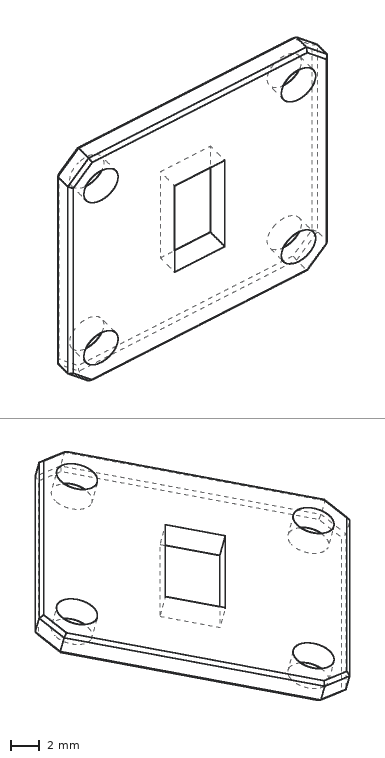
import cadquery as cq

flange_side = 22.35
flange_thickness = 1.75
corner_chamfer = 1.8
edge_chamfer = 0.27

window_width_y = 4.32
window_height_z = 8.64

hole_diameter = 2.95
hole_spacing_y = 17.02
hole_spacing_z = 16.26

back_face_origin = (-flange_thickness / 2, 0, 0)


def flange_blank():
    """Square plate with cut corners and both face outlines chamfered, centred on the origin."""
    plate = cq.Workplane("XY").box(flange_thickness, flange_side, flange_side)
    plate = plate.edges("|X").chamfer(corner_chamfer)
    return plate.faces("<X or >X").chamfer(edge_chamfer)


def through_cutter(sketch):
    """Extrude a YZ outline through the full plate thickness."""
    return sketch.extrude(flange_thickness)


def waveguide_window():
    return through_cutter(cq.Workplane("YZ", origin=back_face_origin).rect(window_width_y, window_height_z))


def mounting_holes():
    layout = cq.Workplane("YZ", origin=back_face_origin)
    hole_centres = layout.rect(hole_spacing_y, hole_spacing_z, forConstruction=True).vertices()
    return through_cutter(hole_centres.circle(hole_diameter / 2))


result = flange_blank().cut(waveguide_window()).cut(mounting_holes())